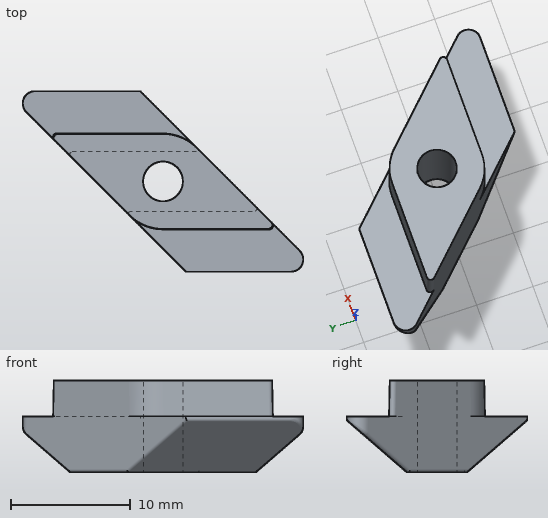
import cadquery as cq
import math

LENGTH = 23.47
WIDTH = 15.11
HEIGHT = 7.7

BASE_HEIGHT = 4.7
RIM_HEIGHT = 0.33
BOTTOM_WIDTH = 5.02
EDGE_RADIUS = 0.28

NECK_WIDTH = 8.05
NECK_HEIGHT = HEIGHT - BASE_HEIGHT
NECK_DRAFT = 1.2
NECK_TIP_RADIUS = 0.33

HOLE_DIAMETER = 3.3

SIDE_DISTANCE = 4.0
SIDE_OFFSET = SIDE_DISTANCE * math.sqrt(2)

SHARP_LENGTH = 2 * SIDE_OFFSET + WIDTH
TIP_RADIUS = (SHARP_LENGTH - LENGTH) / 2 / math.sqrt(2)


def parallelogram(width, z):
    """Sharp plan outline between the two diagonal sides."""
    y = width / 2
    return cq.Workplane("XY").workplane(offset=z).polyline([
        (-SIDE_OFFSET - y, y),
        (SIDE_OFFSET - y, y),
        (SIDE_OFFSET + y, -y),
        (-SIDE_OFFSET + y, -y),
    ]).close()


def round_corners(body, corner_x, radius):
    """Round the two upright edges that stand at +/- corner_x."""
    reach = 0.23
    edges = []
    for x in (-corner_x, corner_x):
        corner = cq.selectors.BoxSelector((x - reach, -WIDTH, 0), (x + reach, WIDTH, HEIGHT))
        edges += body.edges("not #Z").edges(corner).vals()
    return body.newObject(edges).fillet(radius)


def make_base():
    plan = parallelogram(WIDTH, 0).extrude(BASE_HEIGHT)
    plan = round_corners(plan, SIDE_OFFSET + WIDTH / 2, TIP_RADIUS)
    half_top = WIDTH / 2
    half_bottom = BOTTOM_WIDTH / 2
    rim_z = BASE_HEIGHT - RIM_HEIGHT
    section = (
        cq.Workplane("YZ")
        .polyline([
            (-half_bottom, 0),
            (half_bottom, 0),
            (half_top, rim_z),
            (half_top, BASE_HEIGHT),
            (-half_top, BASE_HEIGHT),
            (-half_top, rim_z),
        ])
        .close()
        .extrude(LENGTH, both=True)
    )
    base = plan.intersect(section)
    lower_edges = base.edges("not |Z").edges("not >Z").vals()
    sharp_edges = base.faces("<Z").edges("|X").vals()
    rounded = [edge for edge in lower_edges if not any(edge.isSame(sharp) for sharp in sharp_edges)]
    return base.newObject(rounded).fillet(EDGE_RADIUS)


def make_neck():
    drafted_bar = (
        cq.Workplane("XY")
        .workplane(offset=BASE_HEIGHT)
        .rect(2 * LENGTH, NECK_WIDTH)
        .extrude(NECK_HEIGHT, taper=NECK_DRAFT)
    )
    diagonal_slab = parallelogram(WIDTH, BASE_HEIGHT).extrude(NECK_HEIGHT)
    neck = drafted_bar.intersect(diagonal_slab)
    neck = round_corners(neck, SIDE_OFFSET - NECK_WIDTH / 2, SIDE_DISTANCE)
    return round_corners(neck, SIDE_OFFSET + NECK_WIDTH / 2, NECK_TIP_RADIUS)


hole = cq.Workplane("XY").circle(HOLE_DIAMETER / 2).extrude(HEIGHT)
result = make_base().union(make_neck()).cut(hole)